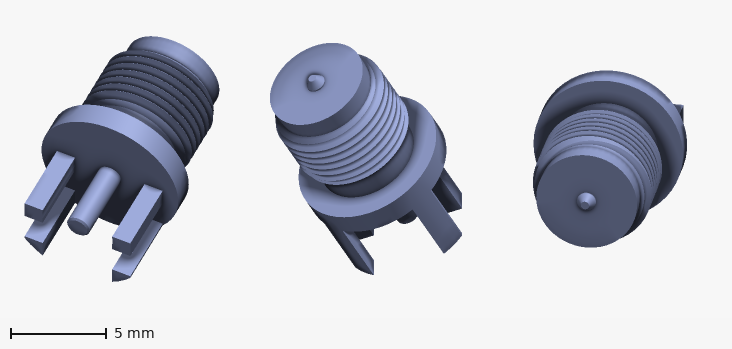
import cadquery as cq


FLANGE_DIA = 7.93
FLANGE_THICKNESS = 1.27
BARREL_DIA = 5.35
BARREL_FRONT = 7.62

INSERT_DIA = 4.07

PIN_DIA = 1.3
PIN_LENGTH = 3.87
PIN_CHAMFER = 0.1
TIP_DIA = 1.02
TIP_END_DIA = 0.44
TIP_LENGTH = 0.5
TIP_COLLAR_LENGTH = 0.08

LEG_LENGTH = 3.89
LEG_WIDTH = 1.05
LEG_CENTRE_X = 2.54
UPPER_LEG_TOP = 0.39
LEG_ROW_SPACING = 2.76
LEG_ROWS = 2

THREAD_DIA = 6.35
THREAD_ROOT_DIA = 5.39
THREAD_PITCH = 0.508
THREAD_TURNS = 8
THREAD_CENTRE = 4.547
THREAD_LENGTH = THREAD_TURNS * THREAD_PITCH
THREAD_START = THREAD_CENTRE - THREAD_LENGTH / 2
THREAD_CHAMFER = (THREAD_DIA - BARREL_DIA) / 2
GROOVE_WIDTH = 0.98 * THREAD_PITCH
RUNOUT_TURNS = 1


def cylinder(diameter, y_start, y_end):
    """Cylinder on the Y axis between two Y positions."""
    base = cq.Workplane("XZ", origin=(0, y_start, 0))
    return base.circle(diameter / 2).extrude(y_start - y_end)


def thread_blank():
    """Thread outside cylinder, chamfered at both ends down to the barrel diameter."""
    blank = cylinder(THREAD_DIA, THREAD_START, THREAD_START + THREAD_LENGTH)
    return blank.edges().chamfer(THREAD_CHAMFER)


def thread_groove():
    """V-shaped helical cutter, with its axis on Y and a groove centre at +X at the thread start."""
    turns = THREAD_TURNS + 2 * RUNOUT_TURNS
    root_radius = THREAD_ROOT_DIA / 2
    crest_radius = THREAD_DIA / 2
    outer_radius = 2 * crest_radius - root_radius
    path = cq.Wire.makeHelix(THREAD_PITCH, turns * THREAD_PITCH, root_radius)
    profile = (
        cq.Workplane("XZ")
        .moveTo(root_radius, 0)
        .lineTo(crest_radius, GROOVE_WIDTH / 2)
        .lineTo(outer_radius, GROOVE_WIDTH / 2)
        .lineTo(outer_radius, -GROOVE_WIDTH / 2)
        .lineTo(crest_radius, -GROOVE_WIDTH / 2)
        .close()
    )
    groove = profile.sweep(cq.Workplane(path), isFrenet=True)
    groove = groove.rotate((0, 0, 0), (1, 0, 0), -90)
    return groove.translate((0, THREAD_START - RUNOUT_TURNS * THREAD_PITCH, 0))


def ground_legs():
    """Two rows of two legs, kept inside the flange rim and outside the insert."""
    legs = cq.Workplane("XY")
    for row in range(LEG_ROWS):
        leg_centre_z = UPPER_LEG_TOP - LEG_WIDTH / 2 - row * LEG_ROW_SPACING
        for side in (-1, 1):
            leg = cq.Workplane("XY").box(LEG_WIDTH, LEG_LENGTH, LEG_WIDTH)
            legs = legs.add(leg.translate((side * LEG_CENTRE_X, -LEG_LENGTH / 2, leg_centre_z)))
    legs = legs.combine()
    legs = legs.intersect(cylinder(FLANGE_DIA, -LEG_LENGTH, 0))
    return legs.cut(cylinder(INSERT_DIA, -LEG_LENGTH, 0))


def shell():
    """Flange, barrel, thread and legs, bored through for the insert."""
    thread = thread_blank().cut(thread_groove())
    body = cylinder(FLANGE_DIA, 0, FLANGE_THICKNESS)
    body = body.union(cylinder(BARREL_DIA, 0, BARREL_FRONT))
    body = body.union(thread)
    body = body.union(ground_legs())
    return body.cut(cylinder(INSERT_DIA, 0, BARREL_FRONT))


def solder_pin():
    """Rear pin with a chamfered end."""
    return cylinder(PIN_DIA, -PIN_LENGTH, 0).faces("<Y").chamfer(PIN_CHAMFER)


def contact_tip():
    """Front tip: a short collar and a truncated cone."""
    tip_end = BARREL_FRONT + TIP_LENGTH
    cone_start = BARREL_FRONT + TIP_COLLAR_LENGTH
    profile = (
        cq.Workplane("XY")
        .moveTo(0, BARREL_FRONT)
        .lineTo(TIP_DIA / 2, BARREL_FRONT)
        .lineTo(TIP_DIA / 2, cone_start)
        .lineTo(TIP_END_DIA / 2, tip_end)
        .lineTo(0, tip_end)
        .close()
    )
    return profile.revolve(360, (0, 0, 0), (0, 1, 0))


core = cylinder(INSERT_DIA, 0, BARREL_FRONT).union(solder_pin()).union(contact_tip())
result = shell().union(core, clean=False)